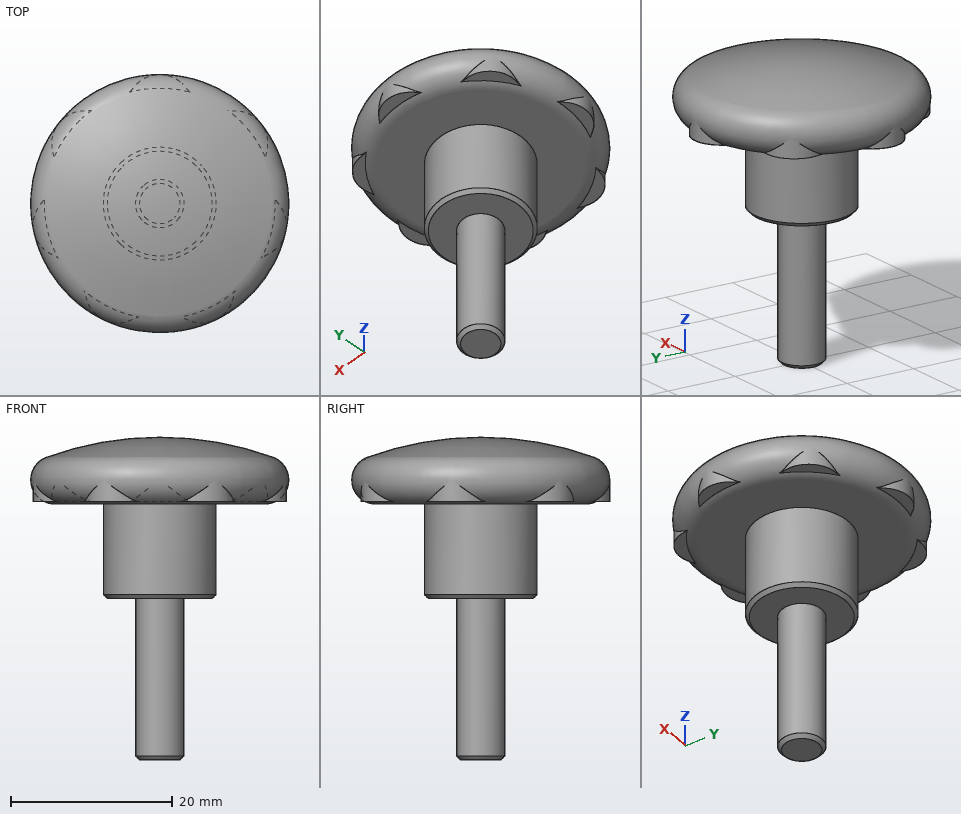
import cadquery as cq
import math

crown_top = 20.0
stud_length = 20.0

hub_radius = 7.0
stud_radius = 3.0
chamfer = 0.5

head_radius = 16.0
rim_round = 3.0
rim_height = 14.7
rim_center_radius = head_radius - rim_round
head_bottom = rim_height - rim_round

rim_to_top = crown_top - rim_height
crown_radius = (rim_center_radius**2 + rim_to_top**2 - rim_round**2) / (2 * (rim_to_top - rim_round))
crown_center = crown_top - crown_radius
tangent_scale = crown_radius / (crown_radius - rim_round)
crown_edge_radius = rim_center_radius * tangent_scale
crown_edge_height = crown_center + (rim_height - crown_center) * tangent_scale

lobe_count = 7
lobe_radius = 4.0
valley_radius = 8.0
grip_bottom = 12.0
first_lobe_angle = math.radians(90)
half_pitch = math.pi / lobe_count

lobe_center_radius = head_radius - lobe_radius
center_distance = lobe_radius + valley_radius
lobe_offset = lobe_center_radius * math.sin(half_pitch)
valley_center_radius = lobe_center_radius * math.cos(half_pitch) + math.sqrt(
    center_distance**2 - lobe_offset**2
)


def polar(radius, angle):
    """Plane point at a radius and angle about the axis."""
    return (radius * math.cos(angle), radius * math.sin(angle))


def tangent_point(lobe_angle, valley_angle):
    """Point where a lobe arc runs into the neighbouring valley arc."""
    lobe_x, lobe_y = polar(lobe_center_radius, lobe_angle)
    valley_x, valley_y = polar(valley_center_radius, valley_angle)
    share = lobe_radius / center_distance
    return (lobe_x + share * (valley_x - lobe_x), lobe_y + share * (valley_y - lobe_y))


def crown_point(radius):
    """Point of the crown profile at the given distance from the axis."""
    return (radius, crown_center + math.sqrt(crown_radius**2 - radius**2))


def make_head_and_hub():
    """Turned shape of the hub, the rounded rim and the domed crown."""
    profile = (
        cq.Workplane("XZ")
        .moveTo(0, 0)
        .lineTo(hub_radius - chamfer, 0)
        .lineTo(hub_radius, chamfer)
        .lineTo(hub_radius, head_bottom)
        .lineTo(rim_center_radius, head_bottom)
        .threePointArc((head_radius, rim_height), (crown_edge_radius, crown_edge_height))
        .threePointArc(crown_point(crown_edge_radius / 2), (0, crown_top))
        .close()
    )
    return profile.revolve(360, (0, 0, 0), (0, 1, 0))


def make_grip():
    """Upright lobed block from its flat bottom up to the widest level of the rim."""
    outline = cq.Workplane("XY", origin=(0, 0, grip_bottom)).moveTo(
        *tangent_point(first_lobe_angle, first_lobe_angle - half_pitch)
    )
    for index in range(lobe_count):
        lobe_angle = first_lobe_angle + 2 * index * half_pitch
        valley_angle = lobe_angle + half_pitch
        next_lobe_angle = valley_angle + half_pitch
        lobe_tip = polar(head_radius, lobe_angle)
        valley_floor = polar(valley_center_radius - valley_radius, valley_angle)
        outline = outline.threePointArc(lobe_tip, tangent_point(lobe_angle, valley_angle))
        outline = outline.threePointArc(valley_floor, tangent_point(next_lobe_angle, valley_angle))
    return outline.close().extrude(rim_height - grip_bottom)


def make_knob():
    """Head, hub and lobed grip as one body."""
    return make_head_and_hub().union(make_grip())


def make_stud():
    """Plain stud that starts at the lower face of the hub."""
    return (
        cq.Workplane("XY")
        .circle(stud_radius)
        .extrude(-stud_length)
        .faces("<Z")
        .chamfer(chamfer)
    )


knob = make_knob()
stud = make_stud()

result = cq.Compound.makeCompound([knob.val(), stud.val()])